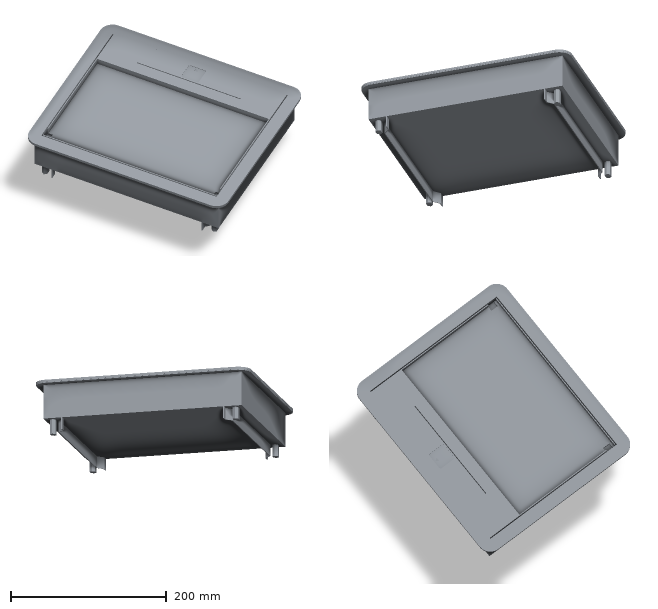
import cadquery as cq


FLANGE_X = 285.0
FLANGE_Y = 240.0
FLANGE_THICKNESS = 4.0
FLANGE_BORDER = 17.0
FLANGE_BASE_THICKNESS = 1.0
FLANGE_BASE_SETBACK = 0.3
BOX_INSET = 10.8
BOX_BOTTOM = -48.5
BOX_X = FLANGE_X - 2 * BOX_INSET
BOX_Y = FLANGE_Y - 2 * BOX_INSET
OPENING_X = FLANGE_X - 2 * FLANGE_BORDER
OPENING_Y = FLANGE_Y - 2 * FLANGE_BORDER

FOOT_X = 121.5
FOOT_Y = 98.3
FOOT_WIDTH = 7.5
FOOT_LENGTH = 10.8
FOOT_FLAT = 6.5
LONG_FOOT_BOTTOM = -67.8
SHORT_FOOT_BOTTOM = -63.8

RAIL_X = 115.7
RAIL_THICKNESS = 1.0
RAIL_JOG = 7.7
RAIL_END_LENGTH = 8.3
RAIL_BOTTOM = -63.8

LID_GAP = 1.5
LID_RIM = 1.0
LID_THICKNESS = 14.0
TRAY_DEPTH = 8.5
TRAY_BACK_Y = 53.5
LID_X = OPENING_X - 2 * LID_GAP
LID_BACK_Y = OPENING_Y / 2
LID_FRONT_Y = LID_GAP - OPENING_Y / 2
TRAY_FRONT_Y = LID_FRONT_Y + LID_RIM

NOTCH_X = 7.5
NOTCH_Y = 10.0
NOTCH_DEPTH = 2.8
NOTCH_FRONT_OFFSET = 2.8
NOTCH_FRONT_Y = TRAY_FRONT_Y + NOTCH_FRONT_OFFSET

FLAP_X = 149.3
FLAP_THICKNESS = 4.0
FLAP_FRONT_Y = 70.7
FLAP_FRONT_GAP = 1.0
FLAP_POCKET_RADIUS = 1.0

LATCH_X = 24.8
LATCH_Y = 23.7
LATCH_CENTER_Y = 84.5
LATCH_RADIUS = 2.3
LATCH_DEPTH = 0.5
ARROW_WIDTH = 6.0
ARROW_LENGTH = 3.7
ARROW_TIP_Y = 94.0
ARROW_DEPTH = 0.3


def block(x_range, y_range, z_range):
    """Rectangular block between the given limits."""
    (x0, x1), (y0, y1), (z0, z1) = x_range, y_range, z_range
    return cq.Workplane("XY").box(x1 - x0, y1 - y0, z1 - z0, centered=False).translate((x0, y0, z0))


def centered_block(size_x, y_range, z_range):
    """Rectangular block centred on X = 0."""
    return block((-size_x / 2, size_x / 2), y_range, z_range)


def foot(x, y, bottom):
    half_width = FOOT_WIDTH / 2
    half_length = FOOT_LENGTH / 2
    half_flat = FOOT_FLAT / 2
    outline = [
        (half_width, half_flat),
        (0, half_length),
        (-half_width, half_flat),
        (-half_width, -half_flat),
        (0, -half_length),
        (half_width, -half_flat),
    ]
    post = cq.Workplane("XY").polyline(outline).close().extrude(BOX_BOTTOM - bottom)
    return post.translate((x, y, bottom))


def left_rail():
    end_y = BOX_Y / 2
    bend_y = end_y - RAIL_END_LENGTH
    outer_x = -RAIL_X
    end_x = outer_x + RAIL_JOG
    outer_face = [
        (end_x, -end_y),
        (end_x, -bend_y),
        (outer_x, RAIL_JOG - bend_y),
        (outer_x, bend_y - RAIL_JOG),
        (end_x, bend_y),
        (end_x, end_y),
    ]
    inner_face = [(x + RAIL_THICKNESS, y) for x, y in reversed(outer_face)]
    rail = cq.Workplane("XY").polyline(outer_face + inner_face).close().extrude(BOX_BOTTOM - RAIL_BOTTOM)
    return rail.translate((0, 0, RAIL_BOTTOM))


def flange_layer(setback, thickness):
    """Rounded plate hanging down from Z = 0, set back all round from the flange edge."""
    return (
        cq.Workplane("XY")
        .rect(FLANGE_X - 2 * setback, FLANGE_Y - 2 * setback)
        .extrude(-thickness)
        .edges("|Z")
        .fillet(FLANGE_BORDER - setback)
    )


def make_housing():
    flange = flange_layer(0, FLANGE_THICKNESS - FLANGE_BASE_THICKNESS)
    flange = flange.union(flange_layer(FLANGE_BASE_SETBACK, FLANGE_THICKNESS))
    box = cq.Workplane("XY").rect(BOX_X, BOX_Y).extrude(BOX_BOTTOM)
    lid_seat = cq.Workplane("XY").rect(OPENING_X, OPENING_Y).extrude(-LID_THICKNESS)
    housing = flange.union(box).cut(lid_seat)
    for y in (-FOOT_Y, FOOT_Y):
        housing = housing.union(foot(-FOOT_X, y, LONG_FOOT_BOTTOM))
        housing = housing.union(foot(FOOT_X, y, SHORT_FOOT_BOTTOM))
    rail = left_rail()
    return housing.union(rail).union(rail.mirror("YZ"))


def tray_notch(side):
    """Sunk rectangle in a front corner of the tray, with the rim beside it removed."""
    edge_x = side * LID_X / 2
    inner_x = side * (LID_X / 2 - NOTCH_X)
    rim_x = side * (LID_X / 2 - LID_RIM)
    notch_back_y = NOTCH_FRONT_Y + NOTCH_Y
    notch = block(
        sorted((edge_x, inner_x)), (NOTCH_FRONT_Y, notch_back_y), (-TRAY_DEPTH - NOTCH_DEPTH, 0)
    )
    rim_opening = block(sorted((edge_x, rim_x)), (TRAY_FRONT_Y, notch_back_y), (-TRAY_DEPTH, 0))
    return notch.union(rim_opening)


def make_lid():
    lid = centered_block(LID_X, (LID_FRONT_Y, LID_BACK_Y), (-LID_THICKNESS, 0))
    tray = centered_block(LID_X - 2 * LID_RIM, (TRAY_FRONT_Y, TRAY_BACK_Y), (-TRAY_DEPTH, 0))
    flap_pocket = (
        centered_block(FLAP_X, (FLAP_FRONT_Y - FLAP_FRONT_GAP, LID_BACK_Y), (-FLAP_THICKNESS, 0))
        .edges("|Z and <Y")
        .fillet(FLAP_POCKET_RADIUS)
    )
    lid = lid.cut(tray).cut(flap_pocket)
    for side in (-1, 1):
        lid = lid.cut(tray_notch(side))
    return lid


def make_flap():
    flap = centered_block(FLAP_X, (FLAP_FRONT_Y, LID_BACK_Y), (-FLAP_THICKNESS, 0))
    latch_field = (
        cq.Workplane("XY")
        .center(0, LATCH_CENTER_Y)
        .rect(LATCH_X, LATCH_Y)
        .extrude(-LATCH_DEPTH)
        .edges("|Z")
        .fillet(LATCH_RADIUS)
    )
    arrow_base_y = ARROW_TIP_Y - ARROW_LENGTH
    arrow = (
        cq.Workplane("XY")
        .polyline([(0, ARROW_TIP_Y), (-ARROW_WIDTH / 2, arrow_base_y), (ARROW_WIDTH / 2, arrow_base_y)])
        .close()
        .extrude(-LATCH_DEPTH - ARROW_DEPTH)
    )
    return flap.cut(latch_field).cut(arrow)


housing = make_housing()
lid = make_lid()
flap = make_flap()

result = cq.Compound.makeCompound([housing.val(), lid.val(), flap.val()])